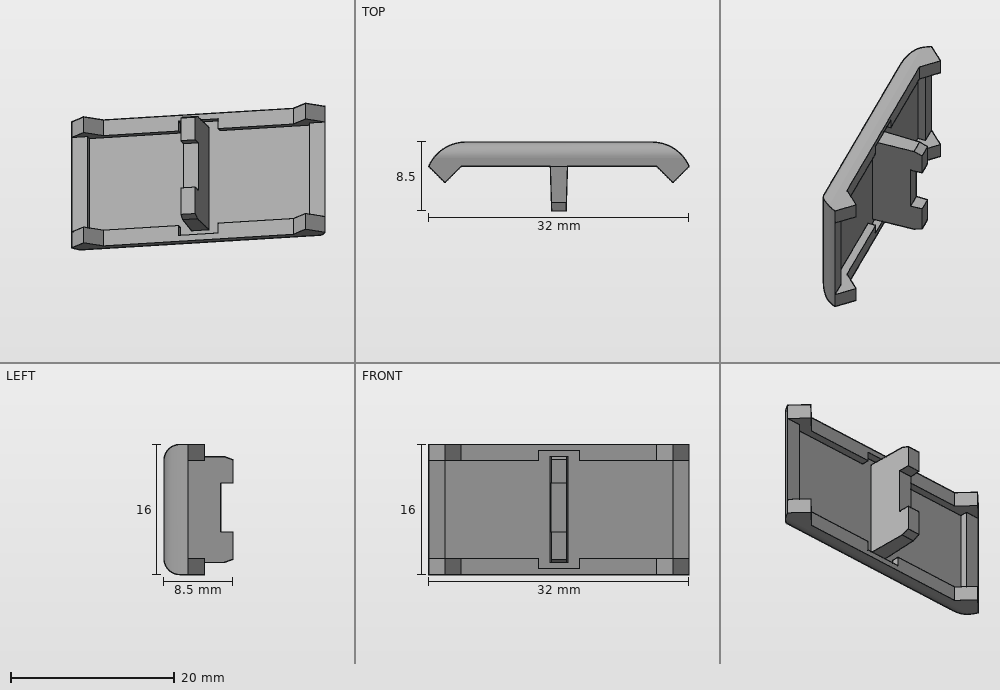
import cadquery as cq
import math

plate_height = 16.0
plate_thickness = 3.0
flat_half_length = 11.4
end_radius = 5.0
edge_radius = 2.0

foot_drop = 2.0
foot_height = 2.0

recess_depth = 1.0
end_rim_width = 2.0
relief_length = 5.0
relief_height = 14.5

blade_height = 13.0
blade_reach = 5.5
blade_root_thickness = 2.2
blade_tip_thickness = 1.8
tip_lead_length = 1.07
tip_lead_angle = 20.0
slot_height = 6.0
slot_depth = 1.5
slot_center_z = 0.25

end_center_y = plate_thickness - end_radius
half_length = flat_half_length + math.sqrt(end_radius**2 - end_center_y**2)
recess_half_length = half_length - end_rim_width
recess_height = plate_height - 2 * foot_height
tip_lead_inset = tip_lead_length * math.tan(math.radians(tip_lead_angle))


def make_plate():
    """Plate with large arcs at both ends and smaller rounds along the long edges."""
    end_angle = math.atan2(-end_center_y, half_length - flat_half_length)
    mid_angle = (end_angle + math.pi / 2) / 2
    arc_mid_x = flat_half_length + end_radius * math.cos(mid_angle)
    arc_mid_y = end_center_y + end_radius * math.sin(mid_angle)
    long_profile = (
        cq.Workplane("XY")
        .moveTo(-half_length, 0)
        .lineTo(half_length, 0)
        .threePointArc((arc_mid_x, arc_mid_y), (flat_half_length, plate_thickness))
        .lineTo(-flat_half_length, plate_thickness)
        .threePointArc((-arc_mid_x, arc_mid_y), (-half_length, 0))
        .close()
        .extrude(plate_height / 2, both=True)
    )
    rounded_bar = (
        cq.Workplane("XY")
        .box(2 * half_length, plate_thickness, plate_height)
        .translate((0, plate_thickness / 2, 0))
        .edges("|X and >Y")
        .fillet(edge_radius)
    )
    return long_profile.intersect(rounded_bar)


def make_recess():
    """Shallow recess, heightened at mid-length to clear the blade."""
    center = (0, recess_depth / 2, 0)
    pocket = cq.Workplane("XY").box(2 * recess_half_length, recess_depth, recess_height)
    relief = cq.Workplane("XY").box(relief_length, recess_depth, relief_height)
    return pocket.union(relief).translate(center)


def make_foot(side, level):
    """Triangular foot; side is the X sign and level the Z sign of its corner."""
    outer_x = side * half_length
    tip_x = side * (half_length - foot_drop)
    inner_x = side * (half_length - 2 * foot_drop)
    foot_center_z = level * (plate_height - foot_height) / 2
    return (
        cq.Workplane("XY")
        .workplane(offset=foot_center_z)
        .polyline([(outer_x, 0), (tip_x, -foot_drop), (inner_x, 0)])
        .close()
        .extrude(foot_height / 2, both=True)
    )


def make_blade():
    """Tapered blade with lead-in bevels and an off-center slot that leaves two prongs at its tip."""
    half_height = blade_height / 2
    half_tip_height = half_height - tip_lead_inset
    slot_top = slot_center_z + slot_height / 2
    slot_bottom = slot_center_z - slot_height / 2
    lead_y = -blade_reach + tip_lead_length
    slot_y = -blade_reach + slot_depth
    side_outline = (
        cq.Workplane("YZ")
        .polyline([
            (recess_depth, half_height),
            (lead_y, half_height),
            (-blade_reach, half_tip_height),
            (-blade_reach, slot_top),
            (slot_y, slot_top),
            (slot_y, slot_bottom),
            (-blade_reach, slot_bottom),
            (-blade_reach, -half_tip_height),
            (lead_y, -half_height),
            (recess_depth, -half_height),
        ])
        .close()
        .extrude(blade_root_thickness / 2, both=True)
    )
    half_root = blade_root_thickness / 2
    half_tip = blade_tip_thickness / 2
    taper = (
        cq.Workplane("XY")
        .polyline([
            (-half_root, recess_depth),
            (-half_tip, -blade_reach),
            (half_tip, -blade_reach),
            (half_root, recess_depth),
        ])
        .close()
        .extrude(half_height, both=True)
    )
    return side_outline.intersect(taper)


result = make_plate().cut(make_recess())
for side in (-1, 1):
    for level in (-1, 1):
        result = result.union(make_foot(side, level))
result = result.union(make_blade())